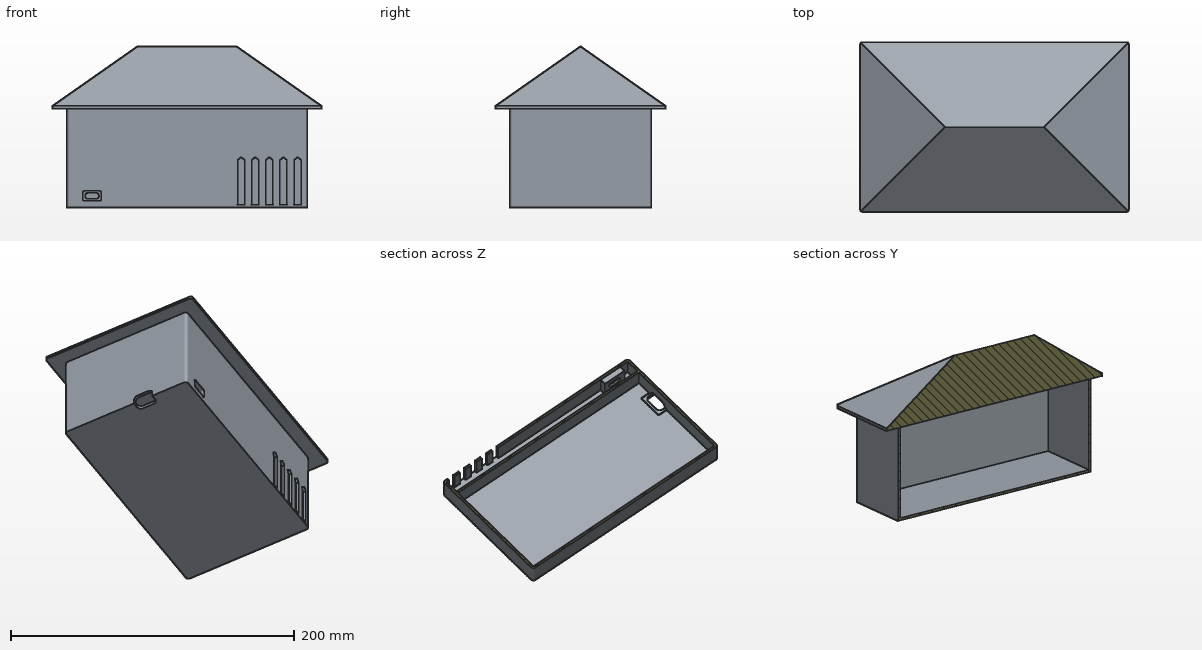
import cadquery as cq
import math

ROOF_LENGTH = 190.0
ROOF_WIDTH = 120.0
ROOF_PITCH = 35.0
EAVE_THICKNESS = 2.0
OVERHANG = 10.0
CORNER_RADIUS = 2.0

TOTAL_HEIGHT = 114.0
WALL = 2.0
FLOOR = 2.0
PARTITION_SETBACK = 12.5
PARTITION_THICKNESS = WALL

SLOT_COUNT = 5
SLOT_ROW_SPAN = 39.9
SLOT_WIDTH = 5.0
SLOT_SIDE_HEIGHT = 31.5
SLOT_PEAK_RISE = 2.0
LAST_SLOT_X = 78.0

SOCKET_X = -67.0
SOCKET_Z = 8.4
SOCKET_LENGTH = 13.1
SOCKET_HEIGHT = 7.0
SOCKET_CORNER_RADIUS = 1.3
SOCKET_DEPTH = 5.0
SOCKET_HOLE_LENGTH = 9.9
SOCKET_HOLE_DIAMETER = 4.4
BOSS_RIM = 2.5
BOSS_BACK = 1.9

NOTCH_Y = -14.2
NOTCH_WIDTH = 15.0
NOTCH_HEIGHT = 6.5
NOTCH_CORNER_RADIUS = 3.2
NOTCH_DEPTH = 7.5
NOTCH_FLOOR_RADIUS = 3.2
PAD_HEIGHT = 2.7
PAD_RIM = WALL

house_length = ROOF_LENGTH - 2 * OVERHANG
house_width = ROOF_WIDTH - 2 * OVERHANG
roof_rise = ROOF_WIDTH / 2 * math.tan(math.radians(ROOF_PITCH))
eave_top = TOTAL_HEIGHT - roof_rise
wall_top = eave_top - EAVE_THICKNESS
slot_pitch = SLOT_ROW_SPAN / (SLOT_COUNT - 1)
left_face = -house_length / 2
front_face = -house_width / 2


def block(x_range, y_range, z_range):
    """Box spanning the given (low, high) ranges."""
    (x0, x1), (y0, y1), (z0, z1) = x_range, y_range, z_range
    return cq.Workplane("XY").box(x1 - x0, y1 - y0, z1 - z0, centered=False).translate((x0, y0, z0))


def front_sketch(x, z, depth=0.0):
    """Workplane facing -Y, set back from the front face; extruding by a negative length goes inward."""
    return cq.Workplane("XZ", origin=(x, front_face + depth, z))


def make_shell():
    """Open-topped box with a floor and rounded vertical corners."""
    outer = cq.Workplane("XY").rect(house_length, house_width).extrude(wall_top)
    outer = outer.edges("|Z").fillet(CORNER_RADIUS)
    cavity = (
        cq.Workplane("XY", origin=(0, 0, FLOOR))
        .rect(house_length - 2 * WALL, house_width - 2 * WALL)
        .extrude(wall_top - FLOOR)
    )
    return outer.cut(cavity)


def make_partition():
    """Inner wall that runs parallel to the front wall, behind the slots."""
    partition_front = front_face + PARTITION_SETBACK
    half_run = house_length / 2 - WALL
    return block(
        (-half_run, half_run),
        (partition_front, partition_front + PARTITION_THICKNESS),
        (FLOOR, wall_top),
    )


def make_slot(x):
    """Upright slot with a low gable top, standing on floor level."""
    half = SLOT_WIDTH / 2
    return (
        front_sketch(x, FLOOR)
        .moveTo(-half, 0)
        .lineTo(half, 0)
        .lineTo(half, SLOT_SIDE_HEIGHT)
        .lineTo(0, SLOT_SIDE_HEIGHT + SLOT_PEAK_RISE)
        .lineTo(-half, SLOT_SIDE_HEIGHT)
        .close()
        .extrude(-WALL)
    )


def make_socket_boss():
    """Thickened wall that holds the socket recess, standing on the floor."""
    half = SOCKET_LENGTH / 2 + BOSS_RIM
    return block(
        (SOCKET_X - half, SOCKET_X + half),
        (front_face + WALL, front_face + SOCKET_DEPTH + BOSS_BACK),
        (FLOOR, SOCKET_Z + SOCKET_HEIGHT / 2 + BOSS_RIM),
    )


def make_socket_opening():
    """Rounded rectangular recess with a stadium hole through its back."""
    recess = front_sketch(SOCKET_X, SOCKET_Z).rect(SOCKET_LENGTH, SOCKET_HEIGHT).extrude(-SOCKET_DEPTH)
    recess = recess.edges("|Y").fillet(SOCKET_CORNER_RADIUS)
    hole = (
        front_sketch(SOCKET_X, SOCKET_Z, SOCKET_DEPTH)
        .slot2D(SOCKET_HOLE_LENGTH, SOCKET_HOLE_DIAMETER)
        .extrude(-BOSS_BACK)
    )
    return recess.union(hole)


def make_notch_pad():
    """Slightly raised stretch of floor that surrounds the bay of the cable notch."""
    half = NOTCH_WIDTH / 2 + PAD_RIM
    return block(
        (left_face + WALL, left_face + NOTCH_DEPTH + PAD_RIM),
        (NOTCH_Y - half, NOTCH_Y + half),
        (FLOOR, PAD_HEIGHT),
    )


def make_cable_notch():
    """Opening in the left wall that continues as a round-cornered bay in the floor."""
    y_range = (NOTCH_Y - NOTCH_WIDTH / 2, NOTCH_Y + NOTCH_WIDTH / 2)
    wall_part = block((left_face, left_face + WALL), y_range, (0, NOTCH_HEIGHT))
    wall_part = wall_part.edges("|X and >Z").fillet(NOTCH_CORNER_RADIUS)
    floor_part = block((left_face, left_face + NOTCH_DEPTH), y_range, (0, PAD_HEIGHT))
    floor_part = floor_part.edges("|Z and >X").fillet(NOTCH_FLOOR_RADIUS)
    return wall_part.union(floor_part)


def make_house():
    house = make_shell().union(make_partition()).union(make_socket_boss()).union(make_notch_pad())
    for i in range(SLOT_COUNT):
        house = house.cut(make_slot(LAST_SLOT_X - i * slot_pitch))
    return house.cut(make_socket_opening()).cut(make_cable_notch())


def make_roof():
    """Hip roof: equal slopes on all sides above a thin overhanging eave."""
    half_length = ROOF_LENGTH / 2
    half_width = ROOF_WIDTH / 2
    ridge_half = half_length - half_width
    gable = (
        cq.Workplane("YZ", origin=(-half_length, 0, 0))
        .polyline([
            (-half_width, wall_top),
            (half_width, wall_top),
            (half_width, eave_top),
            (0, TOTAL_HEIGHT),
            (-half_width, eave_top),
        ])
        .close()
        .extrude(ROOF_LENGTH)
    )
    hipped_ends = (
        cq.Workplane("XZ", origin=(0, half_width, 0))
        .polyline([
            (-half_length, wall_top),
            (half_length, wall_top),
            (half_length, eave_top),
            (ridge_half, TOTAL_HEIGHT),
            (-ridge_half, TOTAL_HEIGHT),
            (-half_length, eave_top),
        ])
        .close()
        .extrude(ROOF_WIDTH)
    )
    plan = (
        cq.Workplane("XY", origin=(0, 0, wall_top))
        .rect(ROOF_LENGTH, ROOF_WIDTH)
        .extrude(TOTAL_HEIGHT - wall_top)
        .edges("|Z")
        .fillet(CORNER_RADIUS)
    )
    return gable.intersect(hipped_ends).intersect(plan)


house = make_house()
roof = make_roof()

result = cq.Compound.makeCompound([house.val(), roof.val()])